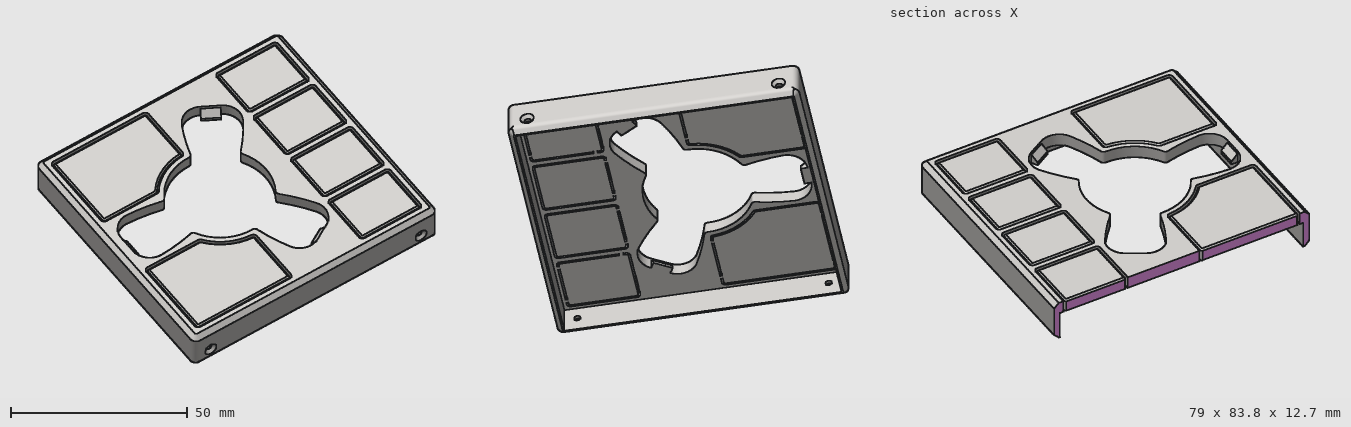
import cadquery as cq
import math

width = 79.0
depth = 83.8
height = 12.7
corner_radius = 2.0
top_chamfer = 1.5
bottom_chamfer = 1.5
rounding_start = 2.4
plate = 4.0
wall = 2.0
margin = 3.0
rib = 1.5

gap = 0.6
panel_chamfer = 0.5
pocket_radius = 1.2
small_pocket_count = 4
small_pocket_depth = 21.2
large_pocket_width = 26.3
large_pocket_depth = 33.1

bridge_width = 1.2
bridge_low = 1.0
bridge_high = bridge_low + gap / 2
overlap = 0.25
small_bridge_inset = 2.2
side_bridge_inset = 2.5
large_bridge_inset = 3.0
large_bridge_top = 16.6
large_bridge_bottom = 21.45

hub_y = -5.7
hub_radius = 15.8
arm_count = 3
arm_length = 32.0
arm_angle = 360 / arm_count
arm_half_width = 8.7
arm_belly = 8.1
arm_neck = 6.9
arm_corner = 5.8
neck_inset = 0.25
junction_radius = 1.0

catch_width = 5.8
catch_reach = 2.0
catch_lip = 1.0

screw_inset = 5.7
screw_z = 4.6
screw_diameter = 1.85
screw_head_diameter = 3.85

inner_x = width / 2 - margin
inner_y = depth / 2 - margin
plate_z = height - plate
small_pocket_width = (2 * inner_x - (small_pocket_count - 1) * rib) / small_pocket_count
small_pitch = small_pocket_width + rib


def make_body():
    body = cq.Workplane("XY").box(width, depth, height, centered=(True, True, False))
    body = body.edges("|Z").fillet(corner_radius)
    body = body.faces(">Z").chamfer(top_chamfer)
    body = body.faces("<Z").chamfer(bottom_chamfer)
    return body.intersect(make_side_profile())


def make_side_profile():
    """Cross-section whose lower X edges are rounded down to 45 degrees, then run straight."""
    half = width / 2
    half_angle = math.radians(45 / 2)
    arc_mid_x = half - corner_radius * (1 - math.cos(half_angle))
    arc_mid_z = rounding_start - corner_radius * math.sin(half_angle)
    arc_end_x = half - corner_radius * (1 - math.sqrt(0.5))
    arc_end_z = rounding_start - corner_radius * math.sqrt(0.5)
    foot_x = arc_end_x - arc_end_z
    return (
        cq.Workplane("XZ")
        .moveTo(foot_x, 0)
        .lineTo(arc_end_x, arc_end_z)
        .threePointArc((arc_mid_x, arc_mid_z), (half, rounding_start))
        .lineTo(half, height)
        .lineTo(-half, height)
        .lineTo(-half, rounding_start)
        .threePointArc((-arc_mid_x, arc_mid_z), (-arc_end_x, arc_end_z))
        .lineTo(-foot_x, 0)
        .close()
        .extrude(depth, both=True)
    )


def make_cavity():
    return cq.Workplane("XY").box(width - 2 * wall, depth - 2 * wall, plate_z, centered=(True, True, False))


def around_hub(shape, turn):
    """Turn a shape about the hub origin, then move it to the hub."""
    return shape.rotate((0, 0, 0), (0, 0, 1), turn).translate((0, hub_y, 0))


def make_opening():
    neck_y = -math.sqrt(hub_radius**2 - arm_neck**2) + neck_inset
    shoulder_y = -arm_length + arm_corner
    tip_x = arm_half_width - arm_corner
    bend = arm_corner * math.sqrt(0.5)
    belly_y = (neck_y + shoulder_y) / 2
    arm = (
        cq.Workplane("XY")
        .workplane(offset=plate_z)
        .moveTo(arm_neck, neck_y)
        .threePointArc((arm_belly, belly_y), (arm_half_width, shoulder_y))
        .threePointArc((tip_x + bend, shoulder_y - bend), (tip_x, -arm_length))
        .lineTo(-tip_x, -arm_length)
        .threePointArc((-tip_x - bend, shoulder_y - bend), (-arm_half_width, shoulder_y))
        .threePointArc((-arm_belly, belly_y), (-arm_neck, neck_y))
        .close()
        .extrude(plate)
    )
    hub = cq.Workplane("XY").workplane(offset=plate_z).circle(hub_radius).extrude(plate)
    opening = around_hub(hub, arm_angle / 4)
    for i in range(arm_count):
        opening = opening.union(around_hub(arm, i * arm_angle))
    near_hub = cq.selectors.BoxSelector(
        (-hub_radius, hub_y - hub_radius, 0), (hub_radius, hub_y + hub_radius, height)
    )
    return opening.edges("|Z").edges(near_hub).fillet(junction_radius)


def make_catches():
    """Sloped catches at the ends of the arms."""
    catch = (
        cq.Workplane("YZ")
        .moveTo(-arm_length - overlap, plate_z)
        .lineTo(-arm_length + catch_reach, plate_z)
        .lineTo(-arm_length + catch_reach, plate_z + catch_lip)
        .lineTo(-arm_length, plate_z + catch_lip + catch_reach)
        .lineTo(-arm_length - overlap, plate_z + catch_lip + catch_reach)
        .close()
        .extrude(catch_width / 2, both=True)
    )
    return [around_hub(catch, i * arm_angle) for i in range(arm_count)]


def rectangle(x0, y0, x1, y1):
    return (
        cq.Workplane("XY")
        .workplane(offset=plate_z)
        .center((x0 + x1) / 2, (y0 + y1) / 2)
        .rect(x1 - x0, y1 - y0)
        .extrude(plate)
    )


def small_pocket(left, clearance):
    block = rectangle(
        left + clearance,
        inner_y - small_pocket_depth + clearance,
        left + small_pocket_width - clearance,
        inner_y - clearance,
    )
    return block.edges("|Z").fillet(pocket_radius - clearance)


def large_pocket(clearance):
    """Left-hand large pocket, cut back by an arc concentric with the hub."""
    block = rectangle(
        -inner_x + clearance,
        -inner_y + clearance,
        -inner_x + large_pocket_width - clearance,
        -inner_y + large_pocket_depth - clearance,
    )
    guard_radius = hub_radius + rib + clearance
    guard = cq.Workplane("XY").workplane(offset=plate_z).circle(guard_radius).extrude(plate)
    block = block.cut(guard.translate((0, hub_y, 0)))
    return block.edges("|Z").fillet(pocket_radius - clearance)


def bridge(x, y, turn):
    """Bridge crossing the slit from the frame at (x, y); unturned, the panel lies towards -Y."""
    return (
        cq.Workplane("YZ")
        .moveTo(overlap, 0)
        .lineTo(overlap, bridge_high)
        .lineTo(0, bridge_high)
        .lineTo(-gap, bridge_low)
        .lineTo(-gap - overlap, bridge_low)
        .lineTo(-gap - overlap, 0)
        .close()
        .extrude(bridge_width / 2, both=True)
        .rotate((0, 0, 0), (0, 0, 1), turn)
        .translate((x, y, plate_z))
    )


def make_screw_holes():
    """Countersunk holes along X, opening on both sides."""
    holes = []
    sink = (screw_head_diameter - screw_diameter) / 2
    for y in (-depth / 2 + screw_inset, depth / 2 - screw_inset):
        bore = cq.Solid.makeCylinder(
            screw_diameter / 2, width, cq.Vector(-width / 2, y, screw_z), cq.Vector(1, 0, 0)
        )
        holes.append(bore)
        for side in (-1, 1):
            cone = cq.Solid.makeCone(
                screw_head_diameter / 2,
                screw_diameter / 2,
                sink,
                cq.Vector(side * width / 2, y, screw_z),
                cq.Vector(-side, 0, 0),
            )
            holes.append(cone)
    return holes


def mirrored(shapes):
    return shapes + [shape.mirror("YZ") for shape in shapes]


outer_left = -inner_x
inner_left = outer_left + small_pitch
small_bottom = inner_y - small_pocket_depth
large_top = -inner_y + large_pocket_depth

pockets = mirrored([small_pocket(outer_left, 0), small_pocket(inner_left, 0), large_pocket(0)])
panels = mirrored(
    [
        panel.faces(">Z").chamfer(panel_chamfer)
        for panel in (small_pocket(outer_left, gap), small_pocket(inner_left, gap), large_pocket(gap))
    ]
)
bridges = mirrored(
    [
        bridge(outer_left + small_bridge_inset, inner_y, 0),
        bridge(outer_left + small_pocket_width - small_bridge_inset, inner_y, 0),
        bridge(outer_left + small_pocket_width, small_bottom + side_bridge_inset, -90),
        bridge(inner_left + small_bridge_inset, small_bottom, 180),
        bridge(inner_left + small_pocket_width - small_bridge_inset, small_bottom, 180),
        bridge(outer_left + large_bridge_inset, large_top, 0),
        bridge(outer_left + large_bridge_top, large_top, 0),
        bridge(outer_left + large_bridge_inset, -inner_y, 180),
        bridge(outer_left + large_bridge_bottom, -inner_y, 180),
    ]
)


result = make_body().cut(make_cavity()).cut(make_opening())
for pocket in pockets:
    result = result.cut(pocket)
for part in panels + bridges + make_catches():
    result = result.union(part)
for hole in make_screw_holes():
    result = result.cut(cq.Workplane(hole))
result = result.solids()